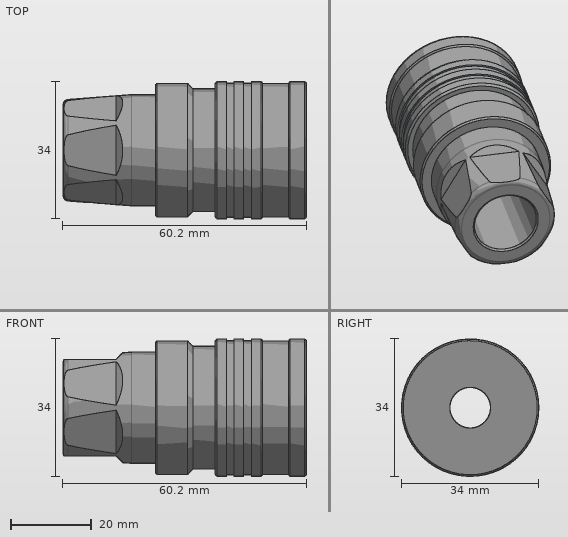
import cadquery as cq
import math

length = 60.2
sleeve_diameter = 34.0
sleeve_radius = sleeve_diameter / 2

nut_length = 22.8
nut_radius = 13.8
taper_length = 17.0
taper_angle = 4.4
nose_fillet = 1.4

flat_count = 6
flat_distance = 12.0
flat_length = 13.1
runout = 4.8

collar_radius = 16.55
collar_chamfer = 0.4
collar_end = 32.1
neck_radius = 15.25

band_start = 37.55
band_end = 49.35
rear_band_start = 55.8
waist_radius = collar_radius
band_chamfer = 0.55
band_end_chamfer = 0.35
rear_band_chamfer = 0.3
end_chamfer = 0.4

groove_radius = 16.6
groove_clearance = 0.6
grooves = [(40.45, 42.25), (44.6, 46.6)]

bore_radius = 7.8
bore_depth = nut_length
bore_chamfer = 0.4
through_radius = 5.0


def revolve_about_x(points):
    """Solid of revolution about X from (x, radius) points."""
    return cq.Workplane("XY").polyline(points).close().revolve(360, (0, 0, 0), (1, 0, 0))


def make_nut():
    """Tapered nut with a rounded nose and six flats."""
    nose_radius = nut_radius - taper_length * math.tan(math.radians(taper_angle))
    nut = revolve_about_x([
        (0, 0),
        (0, nose_radius),
        (taper_length, nut_radius),
        (nut_length, nut_radius),
        (nut_length, 0),
    ])
    nut = nut.faces("<X").edges().fillet(nose_fillet)
    cutter = (
        cq.Workplane("XZ")
        .polyline([
            (0, flat_distance),
            (flat_length, flat_distance),
            (flat_length + runout, flat_distance + runout),
            (0, flat_distance + runout),
        ])
        .close()
        .extrude(nut_radius, both=True)
    )
    for i in range(flat_count):
        nut = nut.cut(cutter.rotate((0, 0, 0), (1, 0, 0), i * 360 / flat_count))
    return nut


def make_body():
    """Collar, neck and grip sleeve as one turned solid."""
    collar_slope = collar_radius - neck_radius
    return revolve_about_x([
        (nut_length, 0),
        (nut_length, collar_radius - collar_chamfer),
        (nut_length + collar_chamfer, collar_radius),
        (collar_end - collar_slope, collar_radius),
        (collar_end, neck_radius),
        (band_start, neck_radius),
        (band_start, sleeve_radius - band_chamfer),
        (band_start + band_chamfer, sleeve_radius),
        (band_end - band_end_chamfer, sleeve_radius),
        (band_end, waist_radius),
        (rear_band_start, waist_radius),
        (rear_band_start + rear_band_chamfer, sleeve_radius),
        (length - end_chamfer, sleeve_radius),
        (length, sleeve_radius - end_chamfer),
        (length, 0),
    ])


def make_groove(start, end):
    """Ring that cuts one grip groove."""
    return revolve_about_x([
        (start, groove_radius),
        (end, groove_radius),
        (end, sleeve_radius + groove_clearance),
        (start, sleeve_radius + groove_clearance),
    ])


def make_hole():
    """Wide chamfered bore from the nut end, then a smaller through hole."""
    return revolve_about_x([
        (0, 0),
        (0, bore_radius + bore_chamfer),
        (bore_chamfer, bore_radius),
        (bore_depth, bore_radius),
        (bore_depth, through_radius),
        (length, through_radius),
        (length, 0),
    ])


result = make_nut().union(make_body())
for start, end in grooves:
    result = result.cut(make_groove(start, end))
result = result.cut(make_hole())